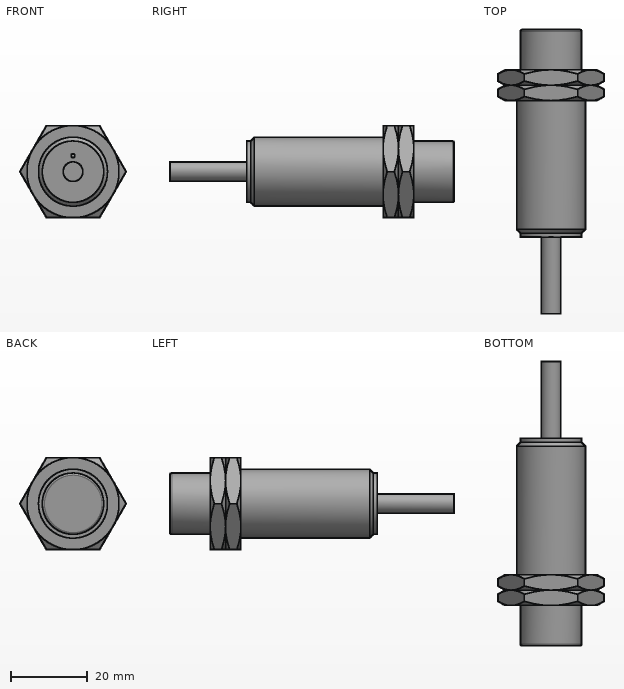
import cadquery as cq
import math

total_length = 74.0
end_y = total_length / 2

barrel_diameter = 18.0
tip_diameter = 16.0
tip_length = 10.5
tip_edge_radius = 0.5
cable_diameter = 5.1
cable_length = 20.0
collar_length = 1.0
lamp_diameter = 1.0
lamp_offset = 4.15

nut_width = 24.0
nut_thickness = 4.0
nut_count = 2
nut_chamfer_angle = 30.0

tip_radius = tip_diameter / 2
barrel_radius = barrel_diameter / 2
barrel_chamfer = barrel_radius - tip_radius
barrel_front_y = end_y - tip_length
back_face_y = cable_length - end_y
collar_front_y = back_face_y + collar_length


def cylinder_along_y(diameter, start_y, end):
    """Solid cylinder on the Y axis between two Y positions."""
    return (
        cq.Workplane("XZ", origin=(0, start_y, 0))
        .circle(diameter / 2)
        .extrude(start_y - end)
    )


def make_lamp_recess():
    """Round recess whose floor is a hemispherical lamp with its crown level with the back face."""
    lamp_radius = lamp_diameter / 2
    floor_y = back_face_y + lamp_radius
    recess = cylinder_along_y(lamp_diameter, back_face_y, floor_y)
    lamp = cq.Workplane("XY").sphere(lamp_radius).translate((0, floor_y, 0))
    return recess.cut(lamp).translate((0, 0, lamp_offset))


def make_sensor():
    """Barrel, tip, back collar and cable in one solid, with a sunken domed indicator lamp."""
    tip = cylinder_along_y(tip_diameter, barrel_front_y, end_y)
    tip = tip.faces(">Y").edges().fillet(tip_edge_radius)
    barrel = cylinder_along_y(barrel_diameter, collar_front_y, barrel_front_y)
    barrel = barrel.faces("<Y").edges().chamfer(barrel_chamfer)
    collar = cylinder_along_y(tip_diameter, back_face_y, collar_front_y)
    cable = cylinder_along_y(cable_diameter, -end_y, back_face_y)
    lamp_recess = make_lamp_recess()
    return barrel.union(tip).union(collar).union(cable).cut(lamp_recess)


def make_nut(front_y):
    """Hexagonal lock nut with conically chamfered corners, reaching back from front_y."""
    back_y = front_y - nut_thickness
    face_radius = nut_width / 2
    corner_radius = face_radius / math.cos(math.radians(30))
    chamfer_depth = (corner_radius - face_radius) * math.tan(math.radians(nut_chamfer_angle))
    hexagon = (
        cq.Workplane("XZ", origin=(0, front_y, 0))
        .polygon(6, 2 * corner_radius)
        .extrude(nut_thickness)
    )
    chamfer_envelope = (
        cq.Workplane("XY")
        .moveTo(0, back_y)
        .lineTo(face_radius, back_y)
        .lineTo(corner_radius, back_y + chamfer_depth)
        .lineTo(corner_radius, front_y - chamfer_depth)
        .lineTo(face_radius, front_y)
        .lineTo(0, front_y)
        .close()
        .revolve(360, (0, 0, 0), (0, 1, 0))
    )
    bore = cylinder_along_y(barrel_diameter, back_y, front_y)
    return hexagon.intersect(chamfer_envelope).cut(bore)


sensor = make_sensor()
nuts = [make_nut(barrel_front_y - index * nut_thickness) for index in range(nut_count)]

result = cq.Compound.makeCompound([sensor.val(), *[nut.val() for nut in nuts]])